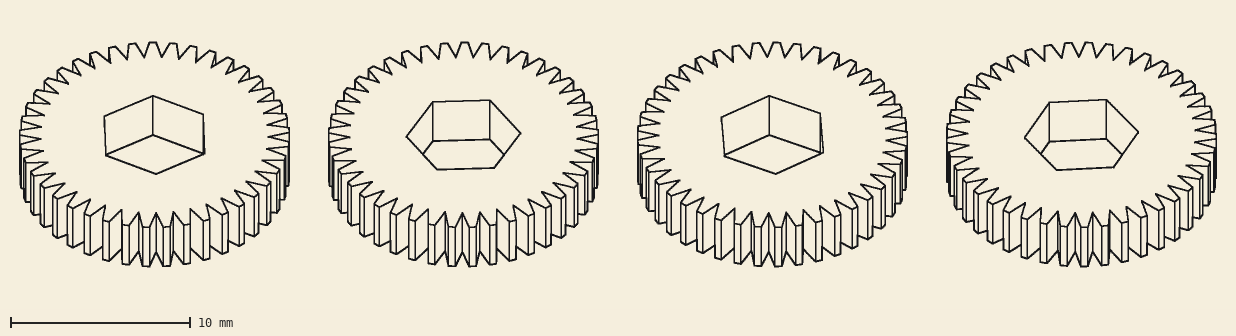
import cadquery as cq
import math

TOOTH_COUNT = 41
THICKNESS = 3.0
TIP_RADIUS = 7.5
ROOT_RADIUS = 6.33
TIP_WIDTH = 0.39
FIRST_TOOTH_ANGLE = -90.0
HEX_ACROSS_CORNERS = 6.35
HEX_ANGLE = -7.3

TOOTH_PITCH = 360.0 / TOOTH_COUNT
TIP_HALF_ANGLE = math.degrees(math.asin(TIP_WIDTH / 2 / TIP_RADIUS))


def polar(radius, angle):
    """Point at the given radius and angle (degrees) around the gear axis."""
    return (
        radius * math.cos(math.radians(angle)),
        radius * math.sin(math.radians(angle)),
    )


def gear_blank():
    """Disc with straight-flanked teeth, rounded tips and V-shaped gaps."""
    outline = cq.Workplane("XY").moveTo(*polar(ROOT_RADIUS, FIRST_TOOTH_ANGLE - TOOTH_PITCH / 2))
    for tooth in range(TOOTH_COUNT):
        center = FIRST_TOOTH_ANGLE + tooth * TOOTH_PITCH
        outline = outline.lineTo(*polar(TIP_RADIUS, center - TIP_HALF_ANGLE))
        outline = outline.threePointArc(
            polar(TIP_RADIUS, center),
            polar(TIP_RADIUS, center + TIP_HALF_ANGLE),
        )
        if tooth < TOOTH_COUNT - 1:
            outline = outline.lineTo(*polar(ROOT_RADIUS, center + TOOTH_PITCH / 2))
    return outline.close().extrude(THICKNESS)


def hex_bore():
    """Hexagonal prism for the through bore."""
    return (
        cq.Workplane("XY")
        .transformed(rotate=(0, 0, HEX_ANGLE))
        .polygon(6, HEX_ACROSS_CORNERS)
        .extrude(THICKNESS)
    )


result = gear_blank().cut(hex_bore())